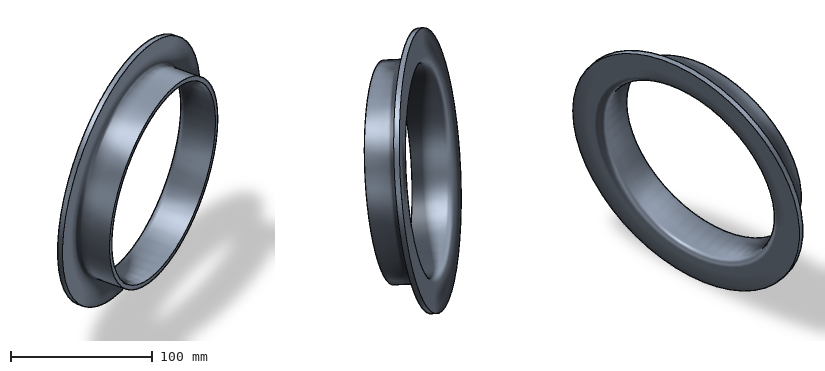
import cadquery as cq

flange_diameter = 202.0
tube_outer_diameter = 159.0
tube_inner_diameter = 152.0
overall_length = 30.0
flange_thickness = 4.0
mouth_radius = 5.0
neck_radius = 3.0

flange_radius = flange_diameter / 2
tube_radius = tube_outer_diameter / 2
bore_radius = tube_inner_diameter / 2

section = (
    cq.Workplane("XY")
    .moveTo(0, bore_radius + mouth_radius)
    .lineTo(0, flange_radius)
    .lineTo(flange_thickness, flange_radius)
    .lineTo(flange_thickness, tube_radius + neck_radius)
    .tangentArcPoint((flange_thickness + neck_radius, tube_radius), relative=False)
    .lineTo(overall_length, tube_radius)
    .lineTo(overall_length, bore_radius)
    .lineTo(mouth_radius, bore_radius)
    .tangentArcPoint((0, bore_radius + mouth_radius), relative=False)
    .close()
)

result = section.revolve(360, (0, 0, 0), (1, 0, 0))